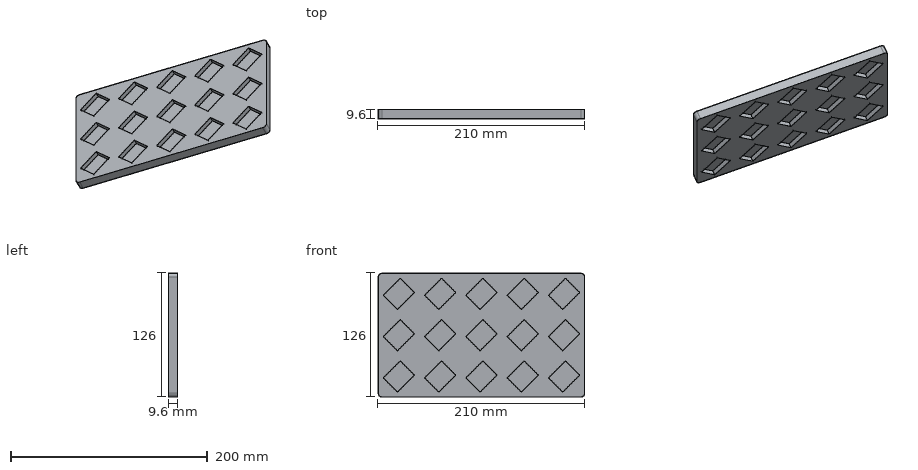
import cadquery as cq

columns = 5
rows = 3
pitch = 42.0
plate_length = columns * pitch
plate_height = rows * pitch
plate_thickness = 9.6
corner_radius = 4.0

pocket_length = 24.4
pocket_width = 20.4
pocket_depth = 5.0
pocket_angle = 45.0


def make_plate():
    """Upright plate with rounded corners and its front face on Y = 0."""
    plate = cq.Workplane("XZ").rect(plate_length, plate_height).extrude(-plate_thickness)
    return plate.edges("|Y").fillet(corner_radius)


def make_pockets():
    """Tilted blocks on the cell grid, reaching from the front face to the pocket floors."""
    pocket_outline = cq.Sketch().rect(pocket_length, pocket_width, angle=pocket_angle)
    return (
        cq.Workplane("XZ")
        .rarray(pitch, pitch, columns, rows)
        .placeSketch(pocket_outline)
        .extrude(-pocket_depth)
    )


result = make_plate().cut(make_pockets())